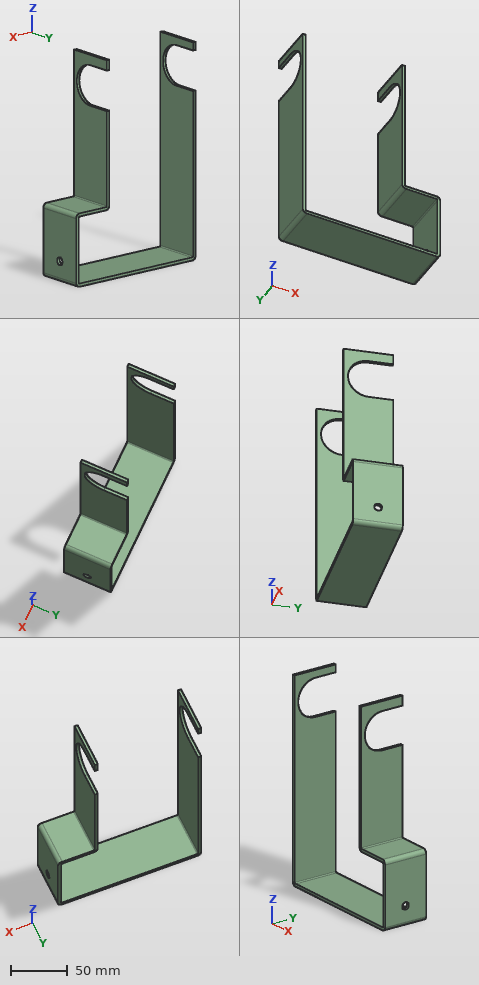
import cadquery as cq

length = 138.0
width = 45.0
height = 202.2
thickness = 3.0
inner_bend_radius = 1.0
outer_bend_radius = inner_bend_radius + thickness

left_post_height = 200.2
shelf_top = 67.5
step_depth = 38.5
inner_post_x = length - step_depth

slot_height = 37.2
slot_center_z = 174.1
slot_center_y = width / 2

hole_diameter = 7.0
hole_z = 19.2


def bent_strip():
    """Constant-thickness strip with sharp bends, then rounded bends."""
    outline = [
        (0, 0),
        (length, 0),
        (length, shelf_top),
        (inner_post_x + thickness, shelf_top),
        (inner_post_x + thickness, height),
        (inner_post_x, height),
        (inner_post_x, shelf_top - thickness),
        (length - thickness, shelf_top - thickness),
        (length - thickness, thickness),
        (thickness, thickness),
        (thickness, left_post_height),
        (0, left_post_height),
    ]
    strip = cq.Workplane("XZ").polyline(outline).close().extrude(-width)

    outer_corners = [
        (0, 0),
        (length, 0),
        (length, shelf_top),
        (inner_post_x, shelf_top - thickness),
    ]
    inner_corners = [
        (thickness, thickness),
        (length - thickness, thickness),
        (length - thickness, shelf_top - thickness),
        (inner_post_x + thickness, shelf_top),
    ]
    for corners, radius in (
        (outer_corners, outer_bend_radius),
        (inner_corners, inner_bend_radius),
    ):
        for x, z in corners:
            edge = cq.selectors.NearestToPointSelector((x, width / 2, z))
            strip = strip.edges("|Y").edges(edge).fillet(radius)
    return strip


def post_slot():
    """Round-ended slot through both posts, open on the +Y side."""
    round_end = (
        cq.Workplane("YZ")
        .center(slot_center_y, slot_center_z)
        .circle(slot_height / 2)
        .extrude(length)
    )
    opening = cq.Workplane("XY").box(
        length, width - slot_center_y, slot_height, centered=(False, False, True)
    )
    return round_end.union(opening.translate((0, slot_center_y, slot_center_z)))


def wall_hole():
    """Screw hole through the right wall only."""
    return (
        cq.Workplane("YZ", origin=(length - thickness, width / 2, hole_z))
        .circle(hole_diameter / 2)
        .extrude(thickness)
    )


result = bent_strip().cut(post_slot()).cut(wall_hole())